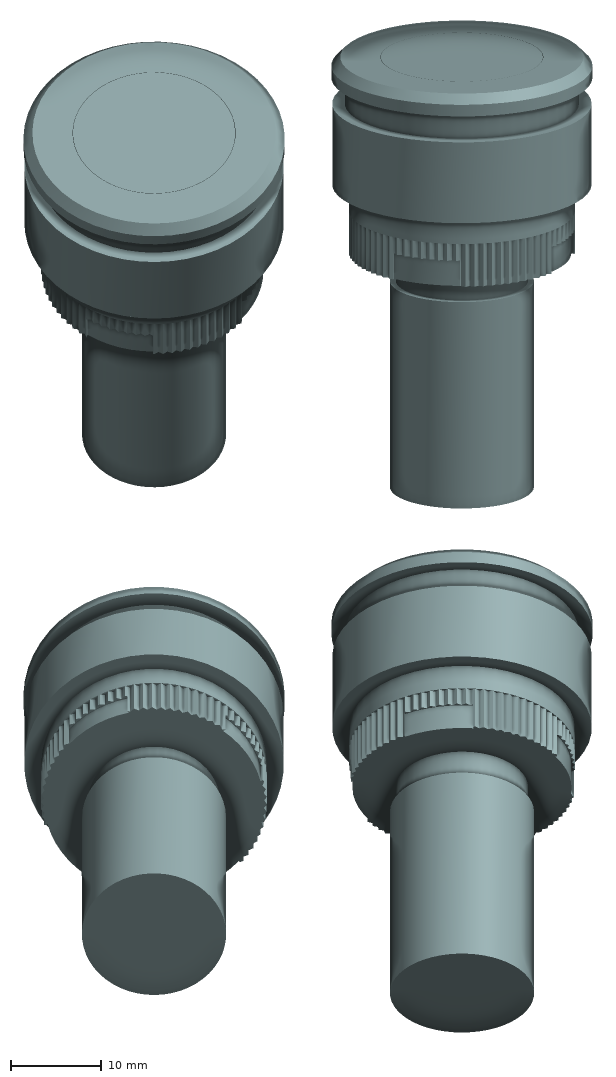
import cadquery as cq
import math

total_height = 49.95

rim_chamfer = 1.0
rim_height = 2.35
panel_gap = 3.05
collar_height = 9.4
flare_height = 3.0
upper_knurl_height = 2.0
lower_knurl_height = 3.0
stem_neck_height = 3.2

rim_diameter = 29.0
groove_diameter = 26.0
collar_diameter = 28.8
flare_top_diameter = 25.0
stem_neck_diameter = 14.7
stem_diameter = 16.0
button_diameter = 18.0
button_hole_diameter = 18.1

groove_count = 78
groove_pitch = 4.6
knurl_tip_diameter = 25.1
knurl_root_diameter = 24.45

window_count = 4
window_width = 7.8
window_floor_diameter = 24.3

rim_bottom = total_height - rim_height
collar_top = rim_bottom - panel_gap
collar_bottom = collar_top - collar_height
knurl_top = collar_bottom - flare_height
window_top = knurl_top - upper_knurl_height
knurl_bottom = window_top - lower_knurl_height
stem_shoulder = knurl_bottom - stem_neck_height

button_height = total_height - collar_top


def disc(diameter, bottom, height):
    """Upright cylinder on the Z axis."""
    return cq.Workplane("XY", origin=(0, 0, bottom)).circle(diameter / 2).extrude(height)


def flared_stage():
    """Slightly flared stage between the collar and the knurl."""
    return (
        cq.Workplane("XY", origin=(0, 0, knurl_top))
        .circle(knurl_tip_diameter / 2)
        .workplane(offset=flare_height)
        .circle(flare_top_diameter / 2)
        .loft(ruled=True)
    )


def polar_point(diameter, degrees):
    angle = math.radians(degrees)
    return (diameter / 2 * math.cos(angle), diameter / 2 * math.sin(angle))


def knurl_outline():
    """One tip, then a groove root and the next tip per groove, running clockwise from the X axis."""
    points = [polar_point(knurl_tip_diameter, groove_pitch / 2)]
    for index in range(groove_count):
        root_angle = -index * groove_pitch
        points.append(polar_point(knurl_root_diameter, root_angle))
        points.append(polar_point(knurl_tip_diameter, root_angle - groove_pitch / 2))
    return points


def knurl_windows():
    """Blocks with a round inner side at the floor diameter, one for each knurl window."""
    windows = cq.Workplane("XY")
    for index in range(window_count):
        block = (
            cq.Workplane("XY", origin=(0, 0, knurl_bottom))
            .center(knurl_tip_diameter / 2, 0)
            .rect(knurl_tip_diameter, window_width)
            .extrude(lower_knurl_height)
            .rotate((0, 0, 0), (0, 0, 1), index * 360 / window_count)
        )
        windows = windows.add(block)
    return windows.combine().cut(disc(window_floor_diameter, knurl_bottom, lower_knurl_height))


def knurled_stage():
    knurl = (
        cq.Workplane("XY", origin=(0, 0, knurl_bottom))
        .polyline(knurl_outline())
        .close()
        .extrude(knurl_top - knurl_bottom)
    )
    return knurl.cut(knurl_windows())


def make_housing():
    """Chamfered rim, panel groove, collar, flared stage and knurl, with the button pocket."""
    rim = disc(rim_diameter, rim_bottom, rim_height).faces(">Z").edges().chamfer(rim_chamfer)
    groove = disc(groove_diameter, collar_top, panel_gap)
    collar = disc(collar_diameter, collar_bottom, collar_height)
    body = rim.union(groove).union(collar).union(flared_stage()).union(knurled_stage())
    return body.cut(disc(button_hole_diameter, collar_top, button_height))


def make_button():
    """Round button face, flush with the top of the rim."""
    return disc(button_diameter, collar_top, button_height)


def make_stem():
    """Long stem whose narrower neck meets the underside of the knurl."""
    barrel = disc(stem_diameter, 0, stem_shoulder)
    return barrel.union(disc(stem_neck_diameter, stem_shoulder, stem_neck_height))


housing = make_housing()
button = make_button()
stem = make_stem()

result = cq.Compound.makeCompound([housing.val(), button.val(), stem.val()])